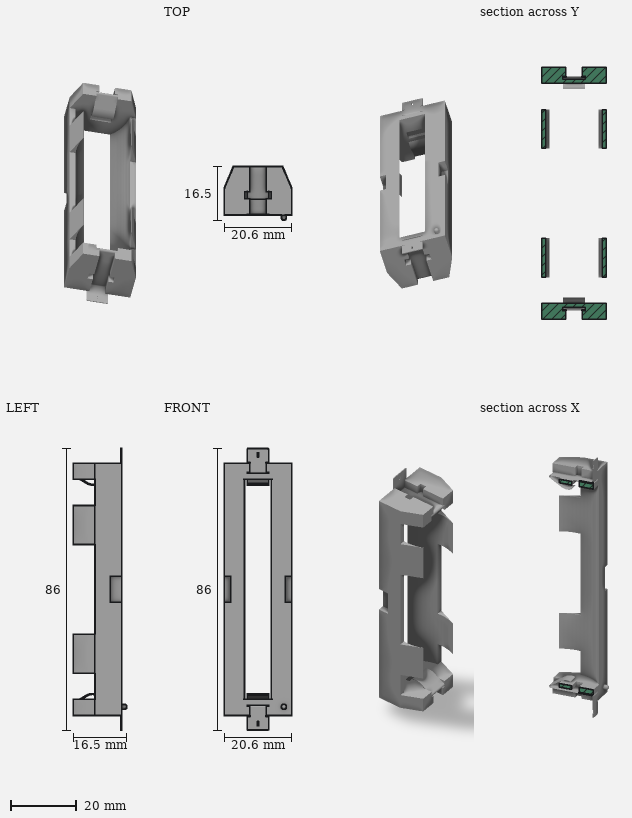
import cadquery as cq
import math

housing_width = 20.65
housing_height = 14.9
housing_length = 77.1
rail_height = 8.3
rear_width = 15.05
end_wall = 5.0
bay_length = housing_length - 2 * end_wall
base_window_width = 8.1
bay_width = 16.95
bay_mouth_width = 14.9

clip_length = 12.0
clip_outer_z = 25.6

side_notch_width = 2.0
side_notch_height = 3.5
side_notch_length = 8.0

pin_diameter = 1.55
pin_length = 1.55
pin_x = 7.9
pin_end_offset = 2.7

overall_length = 86.0
strip_thickness = 0.3
neck_width = 4.9
wide_width = 6.6
bend_radius = 0.3
shoulder_gap = 0.3
blade_chamfer = 0.3
slit_width = 0.35
slit_length = 1.2
slit_tip_offset = 2.0

hairpin_radius = 0.4
spring_angle = 31.0
spring_radius = 3.4
spring_tip_angle = 22.0
spring_nose_depth = 6.7

groove_depth = 3.1
cavity_start = 4.9
web_end = 11.6
web_thickness = 1.4
recess_width = 8.1
recess_start = 5.1
recess_end = 7.2

half_length = housing_length / 2


def box(x_range, y_range, z_range):
    """Axis-aligned box from its lower and upper limits."""
    sizes = [high - low for low, high in (x_range, y_range, z_range)]
    corner = (x_range[0], y_range[0], z_range[0])
    return cq.Workplane("XY").box(*sizes, centered=False).translate(corner)


def centred(width):
    return (-width / 2, width / 2)


def at_both_ends(upper):
    """The upper-end shape joined with its mirror image at the lower end."""
    return upper.union(upper.mirror("XY"))


def make_shell():
    """Tapered block with a bay of bowed side walls between the end walls."""
    shell = (
        cq.Workplane("XY")
        .moveTo(-housing_width / 2, 0)
        .lineTo(housing_width / 2, 0)
        .lineTo(housing_width / 2, rail_height)
        .lineTo(rear_width / 2, housing_height)
        .lineTo(-rear_width / 2, housing_height)
        .lineTo(-housing_width / 2, rail_height)
        .close()
        .extrude(half_length, both=True)
    )
    bay = (
        cq.Workplane("XY")
        .moveTo(-base_window_width / 2, 0)
        .lineTo(base_window_width / 2, 0)
        .threePointArc((bay_width / 2, rail_height), (bay_mouth_width / 2, housing_height))
        .lineTo(-bay_mouth_width / 2, housing_height)
        .threePointArc((-bay_width / 2, rail_height), (-base_window_width / 2, 0))
        .close()
        .extrude(bay_length / 2, both=True)
    )
    return shell.cut(bay)


def make_clip_gaps():
    """Spaces above the rails: between the clips, and between clips and end walls."""
    x_range = centred(housing_width)
    y_range = (rail_height, housing_height)
    clip_inner_z = clip_outer_z - clip_length
    middle = box(x_range, y_range, (-clip_inner_z, clip_inner_z))
    outer = box(x_range, y_range, (clip_outer_z, bay_length / 2))
    return middle.union(at_both_ends(outer))


def make_side_notches():
    left = box(
        (-housing_width / 2, -housing_width / 2 + side_notch_width),
        (0, side_notch_height),
        centred(side_notch_length),
    )
    return left.union(left.mirror("YZ"))


def make_contact_seat():
    """Groove, recess, blade slot and spring cavity in the upper end wall."""
    groove_floor = half_length - groove_depth
    strip_top = groove_floor + strip_thickness
    groove = box(centred(neck_width), (0, housing_height), (groove_floor, half_length))
    recess = box(centred(recess_width), (recess_start, recess_end), (groove_floor, half_length))
    blade_slot = box(centred(wide_width), (0, cavity_start), (groove_floor, strip_top))
    wall_inside = bay_length / 2
    cavity = box(centred(wide_width), (cavity_start, housing_height), (wall_inside, strip_top))
    web = box(
        centred(wide_width), (recess_end, web_end), (wall_inside, wall_inside + web_thickness)
    )
    return groove.union(recess).union(blade_slot).union(cavity.cut(web))


def make_locating_pin():
    """Round-tipped pin standing out from the base."""
    pin_radius = pin_diameter / 2
    pin_z = pin_end_offset - half_length
    shank_length = pin_length - pin_radius
    shank = (
        cq.Workplane("XZ")
        .center(pin_x, pin_z)
        .circle(pin_radius)
        .extrude(shank_length)
    )
    tip = cq.Workplane("XY").sphere(pin_radius).translate((pin_x, -shank_length, pin_z))
    return shank.union(tip)


def make_housing():
    return (
        make_shell()
        .cut(make_clip_gaps())
        .cut(make_side_notches())
        .cut(at_both_ends(make_contact_seat()))
        .union(make_locating_pin())
    )


def make_contact_profile():
    """Side outline (Y, Z) of the upper contact, as the two sides of one bent strip.

    The path runs from the tip of the blade, round the bend, along the groove,
    round the hairpin, down the straight leg and round the spring nose.
    """
    half_thickness = strip_thickness / 2
    slope = math.radians(spring_angle)
    base_bend = bend_radius + half_thickness
    strip_z = half_length - groove_depth + half_thickness
    hairpin_y = housing_height - half_thickness - hairpin_radius
    hairpin_z = strip_z - hairpin_radius
    nose_z = half_length - spring_nose_depth + half_thickness + spring_radius
    hairpin_exit_y = hairpin_y + hairpin_radius * math.sin(slope)
    hairpin_exit_z = hairpin_z - hairpin_radius * math.cos(slope)
    nose_entry_z = nose_z - spring_radius * math.cos(slope)
    nose_entry_y = hairpin_exit_y - (hairpin_exit_z - nose_entry_z) / math.tan(slope)
    nose_y = nose_entry_y - spring_radius * math.sin(slope)

    bend_centre = (half_thickness + base_bend, strip_z + base_bend)
    hairpin_centre = (hairpin_y, hairpin_z)
    nose_centre = (nose_y, nose_z)
    leg_direction = -90 + spring_angle
    nose_end = -90 - spring_tip_angle

    def polar(centre, radius, degrees):
        angle = math.radians(degrees)
        return (centre[0] + radius * math.cos(angle), centre[1] + radius * math.sin(angle))

    def arc(centre, radius, start, end):
        """Start, middle and end points of an arc."""
        return [polar(centre, radius, a) for a in (start, (start + end) / 2, end)]

    def side(offset):
        """Arcs along one side, offset towards the inside of the hairpin if positive."""
        return (
            arc(bend_centre, base_bend + offset, 180, 270),
            arc(hairpin_centre, hairpin_radius - offset, 90, leg_direction),
            arc(nose_centre, spring_radius - offset, leg_direction, nose_end),
        )

    outer_bend, inner_hairpin, inner_nose = side(half_thickness)
    inner_bend, outer_hairpin, outer_nose = side(-half_thickness)
    tip_z = overall_length / 2
    return (
        cq.Workplane("YZ")
        .moveTo(0, tip_z)
        .lineTo(*outer_bend[0])
        .threePointArc(*outer_bend[1:])
        .lineTo(*inner_hairpin[0])
        .threePointArc(*inner_hairpin[1:])
        .lineTo(*inner_nose[0])
        .threePointArc(*inner_nose[1:])
        .lineTo(*outer_nose[2])
        .threePointArc(outer_nose[1], outer_nose[0])
        .lineTo(*outer_hairpin[2])
        .threePointArc(outer_hairpin[1], outer_hairpin[0])
        .lineTo(*inner_bend[2])
        .threePointArc(inner_bend[1], inner_bend[0])
        .lineTo(strip_thickness, tip_z)
        .close()
    )


def make_contact():
    """Upper contact: a bent strip whose blade narrows to a neck inside the groove."""
    tip_z = overall_length / 2
    contact = make_contact_profile().extrude(wide_width / 2, both=True)

    neck_side = box(
        (neck_width / 2, wide_width / 2),
        (0, strip_thickness + bend_radius),
        (half_length - groove_depth, half_length + shoulder_gap),
    )
    contact = contact.cut(neck_side).cut(neck_side.mirror("YZ"))

    slit_z = tip_z - slit_tip_offset
    slit = box(
        centred(slit_width),
        (0, strip_thickness),
        (slit_z - slit_length / 2, slit_z + slit_length / 2),
    )
    return contact.faces(">Z").edges("|Y").chamfer(blade_chamfer).cut(slit)


def make_contacts():
    upper = make_contact()
    return [upper, upper.mirror("XY")]


housing = make_housing()
contacts = make_contacts()

result = cq.Compound.makeCompound([housing.val(), *[contact.val() for contact in contacts]])